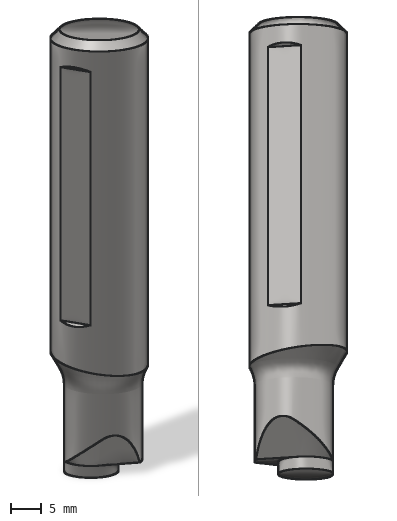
import cadquery as cq
import math

LENGTH = 74.7
SHANK_RADIUS = 8.0
TOP_CHAMFER = 1.5

FLAT_OFFSET = 7.5
FLAT_BOTTOM = 26.75
FLAT_TOP = 69.7

NECK_X = 0.75
NECK_RADIUS = 6.4
NECK_TOP = 14.7
FLARE_RADIUS = 6.0
FLARE_ANGLE = math.radians(30)

TIP_X = -1.05
TIP_Y = -1.0
TIP_RADIUS = 4.55
TIP_HEIGHT = 2.0
TAPER_HEIGHT = 9.0
TAPER_ANGLE = math.radians(24)
TANGENT_ANGLES = (-43, 90)


def clamping_flat_cutter(side):
    """Trapezoidal cutter for the flat on the +Y or -Y side."""
    depth = SHANK_RADIUS - FLAT_OFFSET
    return (
        cq.Workplane("YZ")
        .polyline([
            (side * FLAT_OFFSET, FLAT_BOTTOM),
            (side * SHANK_RADIUS, FLAT_BOTTOM - depth),
            (side * SHANK_RADIUS, FLAT_TOP + depth),
            (side * FLAT_OFFSET, FLAT_TOP),
        ])
        .close()
        .extrude(SHANK_RADIUS, both=True)
    )


def neck_envelope():
    """Revolved neck, concave flare and cone, open to well outside the shank."""
    outer_radius = 2 * SHANK_RADIUS

    def flare_point(angle):
        radius = NECK_RADIUS + FLARE_RADIUS * (1 - math.cos(angle))
        return radius, NECK_TOP + FLARE_RADIUS * math.sin(angle)

    flare_end = flare_point(FLARE_ANGLE)
    cone_top = flare_end[1] + (outer_radius - flare_end[0]) / math.tan(FLARE_ANGLE)
    return (
        cq.Workplane("XZ")
        .lineTo(NECK_RADIUS, 0)
        .lineTo(NECK_RADIUS, NECK_TOP)
        .threePointArc(flare_point(FLARE_ANGLE / 2), flare_end)
        .lineTo(outer_radius, cone_top)
        .lineTo(outer_radius, LENGTH)
        .lineTo(0, LENGTH)
        .close()
        .revolve(360, (0, 0), (0, 1))
        .translate((NECK_X, 0, 0))
    )


def taper_section(radius):
    """Tip circle extended toward +X by tangent lines that meet in a corner."""
    start, end = (math.radians(angle) for angle in TANGENT_ANGLES)
    middle = (start + end) / 2
    corner_distance = radius / math.cos((end - start) / 2)

    def polar(distance, angle):
        return TIP_X + distance * math.cos(angle), TIP_Y + distance * math.sin(angle)

    return (
        cq.Sketch()
        .arc(polar(radius, end), polar(radius, middle + math.pi), polar(radius, start))
        .segment(polar(corner_distance, middle))
        .segment(polar(radius, end))
        .assemble()
    )


def tip_envelope():
    """Cylindrical tip, widening taper, and free space above the taper."""
    taper_top = TIP_HEIGHT + TAPER_HEIGHT
    top_radius = TIP_RADIUS + TAPER_HEIGHT * math.tan(TAPER_ANGLE)
    tip = cq.Workplane().center(TIP_X, TIP_Y).circle(TIP_RADIUS).extrude(TIP_HEIGHT)
    taper = (
        cq.Workplane()
        .placeSketch(
            taper_section(TIP_RADIUS).moved(cq.Location(cq.Vector(0, 0, TIP_HEIGHT))),
            taper_section(top_radius).moved(cq.Location(cq.Vector(0, 0, taper_top))),
        )
        .loft(ruled=True)
    )
    above = (
        cq.Workplane()
        .workplane(offset=taper_top)
        .circle(2 * SHANK_RADIUS)
        .extrude(LENGTH - taper_top)
    )
    return tip.union(taper).union(above)


shank = cq.Workplane().circle(SHANK_RADIUS).extrude(LENGTH).faces(">Z").chamfer(TOP_CHAMFER)
for side in (-1, 1):
    shank = shank.cut(clamping_flat_cutter(side))

result = shank.intersect(neck_envelope()).intersect(tip_envelope())